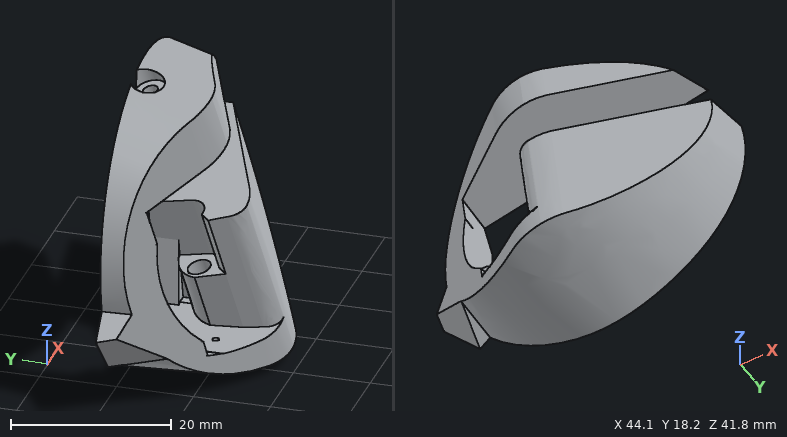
import cadquery as cq
import math


LEAN = math.tan(math.radians(12.44))
AXIS = cq.Vector(-LEAN, LEAN, 1)
ACROSS = cq.Vector(1, 0, LEAN)
REACH = 60.0

WALL_RADII = [21.03, 20.6, 20.35, 20.86, 21.15, 21.0, 21.0, 21.4, 21.0, 20.9, 20.4, 20.8]
WALL_DRAFTS = [0.175, 0.2, 0.245, 0.265, 0.15, 0.02, 0.0, 0.03, 0.04, 0.09, 0.10, 0.15]
WALL_DEPTH = 20.0

LEFT_FLAT_SLOPE = -0.669
LEFT_FLAT_Y = -17.05
RIGHT_FLAT_SLOPE = 0.376
RIGHT_FLAT_Y = -14.07
RIDGE_LEFT_X = -7.1
RIDGE_RIGHT_X = 1.2
RIDGE = (-1.87, -14.02)

SLOT_TOP = 9.72
SLOT_BOTTOM = -0.22
SLOT_WALL_X = -15.79

CAVITY_CENTRE = (0.2, -0.4)
CAVITY_BACK_RADIUS = 16.2
CAVITY_DRAFT = 0.08
CORNER_BACK_Y = -3.0
FLOOR_LEFT = (-10.8, -15.1)
FLOOR_MIDDLE = (-6.0, -15.75)
FLOOR_RIGHT = (1.4, -14.4)
CORNER_TOP = (-11.4, -12.2)
LEDGE_TOP = (-9.1, -13.5)
LEDGE_BOTTOM = (-8.85, -15.57)

BLOCK_WALL_X = -0.33
GROOVE_BACK = (BLOCK_WALL_X, -6.1)
GROOVE_MIDDLE = (-1.3, -7.8)
GROOVE_FRONT = (-3.5, -8.15)
NOSE_TIP = (-4.85, -9.4)
NOSE_FLANK_END = (-4.25, -11.9)
NOSE_ROUND_MIDDLE = (-3.5, -13.35)

SEAT_LEVEL = -9.0
SEAT_BACK = (BLOCK_WALL_X, -1.6)
SEAT_SHOULDER = (-2.0, -2.2)
SEAT_ROUND_MIDDLE = (-4.3, -3.5)
SEAT_CORNER = (-5.3, -5.2)

UPRIGHT_WALL_X = 0.9
UPRIGHT_DEPTH = 3.65

TAB_TIP = (-23.1, -9.05)
TAB_HEEL = (-17.77, -14.95)
TAB_INNER_TOP = (-19.5, -5.0)
TAB_INNER_HEEL = (-11.8, -10.05)
TAB_END_RUNOUT = (-10.6, -11.2, -17.87)

SCREW_X = -6.15
SCREW_Y = -2.05
SCREW_HEAD_Z = 18.3
SCREW_RADIUS = 1.0
SCREW_LENGTH = 10.5
HEAD_RADIUS = 2.1
HEAD_CLEARANCE = 8.0

PEG_CENTRE = (-14.6, -6.9)
PEG_RADIUS = 1.35
PEG_LENGTH = 4.0
SEAT_HOLE_CENTRE = (-1.4, -7.0, -7.76)
SEAT_HOLE_RADIUS = 1.5
SEAT_HOLE_DEPTH = 4.0
PIN_HOLE_CENTRE = (-5.1, -9.9, -14.5)
PIN_HOLE_RADIUS = 0.4
PIN_HOLE_DEPTH = 2.5


def leaning_plane(point):
    """Work plane square to the saddle axis, with its local X in the XZ plane."""
    return cq.Plane(origin=point, xDir=ACROSS, normal=AXIS)


def along_axis(sketch):
    """Solid swept both ways along the saddle axis from a closed outline in the Z = 0 plane."""
    half = AXIS * REACH
    face = cq.Face.makeFromWires(sketch.val()).moved(cq.Location(half * -1))
    return cq.Workplane(cq.Solid.extrudeLinear(face, half * 2))


def between_levels(low, high):
    """Slab square to the saddle axis between two heights measured on the Z axis."""
    thickness = (high - low) / AXIS.Length
    base = cq.Workplane(leaning_plane((0, 0, low))).rect(2 * REACH, 2 * REACH)
    return base.extrude(thickness)


def left_flat_y(x):
    return LEFT_FLAT_SLOPE * x + LEFT_FLAT_Y


def right_flat_y(x):
    return RIGHT_FLAT_SLOPE * x + RIGHT_FLAT_Y


def wall_outline(depth):
    """Points of the closed side-wall outline at a given depth."""
    step = 2 * math.pi / len(WALL_RADII)
    points = []
    for index, (radius, draft) in enumerate(zip(WALL_RADII, WALL_DRAFTS)):
        reach = radius - draft * depth
        points.append((reach * math.cos(index * step), reach * math.sin(index * step)))
    return points


def drafted_body():
    outline = cq.Workplane("XZ").spline(wall_outline(0), periodic=True).close()
    outline = outline.workplane(offset=WALL_DEPTH)
    return outline.spline(wall_outline(WALL_DEPTH), periodic=True).close().loft(ruled=True)


def saddle():
    """Everything behind the two front flats and their rounded ridge."""
    return along_axis(
        cq.Workplane("XY")
        .moveTo(-REACH, REACH)
        .lineTo(-REACH, left_flat_y(-REACH))
        .lineTo(RIDGE_LEFT_X, left_flat_y(RIDGE_LEFT_X))
        .tangentArcPoint(RIDGE, relative=False)
        .tangentArcPoint((RIDGE_RIGHT_X, right_flat_y(RIDGE_RIGHT_X)), relative=False)
        .lineTo(REACH, right_flat_y(REACH))
        .lineTo(REACH, REACH)
        .close()
        .wire()
    )


def tab():
    """Lug whose end face slopes inward from the back face to meet the left flat."""
    outline = [TAB_TIP, TAB_INNER_TOP, TAB_INNER_HEEL, TAB_HEEL]
    lug = cq.Workplane("XZ").polyline(outline).close().extrude(WALL_DEPTH)
    tip = cq.Vector(TAB_TIP[0], 0, TAB_TIP[1])
    heel = cq.Vector(TAB_HEEL[0], 0, TAB_HEEL[1])
    runout = cq.Vector(*TAB_END_RUNOUT)
    outward = (heel - tip).cross(runout - tip)
    end_plane = cq.Plane(origin=tip, xDir=heel - tip, normal=outward)
    beyond_end = cq.Workplane(end_plane).rect(2 * REACH, 2 * REACH).extrude(REACH)
    return lug.cut(beyond_end)


def slot():
    channel = (
        cq.Workplane("XY")
        .moveTo(SLOT_WALL_X, REACH)
        .lineTo(REACH, REACH)
        .lineTo(REACH, -REACH)
        .lineTo(SLOT_WALL_X, -REACH)
        .close()
        .wire()
    )
    return along_axis(channel).intersect(between_levels(SLOT_BOTTOM, SLOT_TOP))


def block():
    """Material kept to the right of the cavity: a rounded nose with a groove behind it."""
    grooved = along_axis(
        cq.Workplane("XY")
        .moveTo(BLOCK_WALL_X, REACH)
        .lineTo(*GROOVE_BACK)
        .threePointArc(GROOVE_MIDDLE, GROOVE_FRONT)
        .lineTo(*NOSE_TIP)
        .lineTo(*NOSE_FLANK_END)
        .threePointArc(NOSE_ROUND_MIDDLE, RIDGE)
        .lineTo(RIDGE[0], -REACH)
        .lineTo(REACH, -REACH)
        .lineTo(REACH, REACH)
        .close()
        .wire()
    )
    return grooved.union(seat()).union(upright())


def seat():
    """Shelf that closes the groove from below."""
    outline = (
        cq.Workplane("XY")
        .moveTo(REACH, SEAT_BACK[1])
        .lineTo(*SEAT_BACK)
        .lineTo(*SEAT_SHOULDER)
        .threePointArc(SEAT_ROUND_MIDDLE, SEAT_CORNER)
        .lineTo(*NOSE_TIP)
        .lineTo(REACH, NOSE_TIP[1])
        .close()
        .wire()
    )
    return along_axis(outline).intersect(between_levels(-REACH, SEAT_LEVEL))


def upright():
    """Wall square to X that stands at the back of the block, below the slot."""
    wall = cq.Workplane("XY").box(REACH, UPRIGHT_DEPTH, REACH, centered=False)
    return wall.translate((UPRIGHT_WALL_X, -UPRIGHT_DEPTH, -REACH))


def floor_corner(top, bottom, back_y):
    """Squared-out lower left corner of the cavity, in front of the given depth."""
    return (
        cq.Workplane("XZ", origin=(0, back_y, 0))
        .moveTo(*top)
        .lineTo(*bottom)
        .threePointArc(FLOOR_MIDDLE, FLOOR_RIGHT)
        .lineTo(FLOOR_RIGHT[0], top[1])
        .close()
        .extrude(WALL_DEPTH)
    )


def cavity():
    back_circle = cq.Workplane("XZ").center(*CAVITY_CENTRE).circle(CAVITY_BACK_RADIUS)
    front_radius = CAVITY_BACK_RADIUS + CAVITY_DRAFT * WALL_DEPTH
    bore = back_circle.workplane(offset=WALL_DEPTH).circle(front_radius).loft(ruled=True)
    above_floor = (
        cq.Workplane("XZ")
        .moveTo(-REACH, REACH)
        .lineTo(-REACH, FLOOR_LEFT[1])
        .lineTo(*FLOOR_LEFT)
        .threePointArc(FLOOR_MIDDLE, FLOOR_RIGHT)
        .lineTo(REACH, FLOOR_RIGHT[1])
        .lineTo(REACH, REACH)
        .close()
        .extrude(WALL_DEPTH)
    )
    below_slot = between_levels(-REACH, (SLOT_BOTTOM + SLOT_TOP) / 2)
    opening = bore.intersect(above_floor).intersect(below_slot)
    opening = opening.union(floor_corner(CORNER_TOP, FLOOR_LEFT, CORNER_BACK_Y))
    opening = opening.union(floor_corner(LEDGE_TOP, LEDGE_BOTTOM, 0))
    return opening.cut(block())


def hole(point, radius, depth):
    """Round cutter from a point down the saddle axis, or up it when the depth is negative."""
    return cq.Workplane(leaning_plane(point)).circle(radius).extrude(-depth)


def screw_hole():
    head_seat = (SCREW_X, SCREW_Y, SCREW_HEAD_Z)
    shank = hole(head_seat, SCREW_RADIUS, SCREW_LENGTH)
    head = hole(head_seat, HEAD_RADIUS, -HEAD_CLEARANCE)
    return shank.union(head)


def peg():
    return cq.Workplane("XZ").center(*PEG_CENTRE).circle(PEG_RADIUS).extrude(PEG_LENGTH)


solid = drafted_body().union(tab()).intersect(saddle())
solid = solid.cut(slot()).cut(cavity()).cut(screw_hole()).union(peg())
solid = solid.cut(hole(SEAT_HOLE_CENTRE, SEAT_HOLE_RADIUS, SEAT_HOLE_DEPTH))
result = solid.cut(hole(PIN_HOLE_CENTRE, PIN_HOLE_RADIUS, PIN_HOLE_DEPTH))